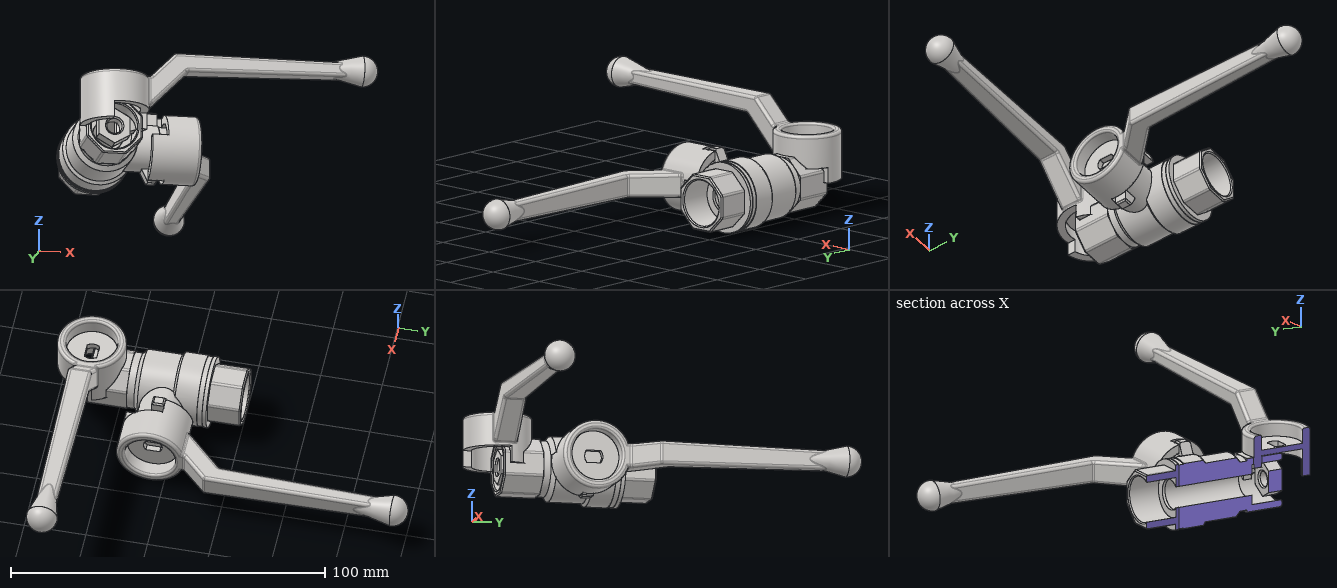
import cadquery as cq
import math


valve_length = 50.0
port_sides = 8
port_across_flats = 18.0
port_corner_radius = 1.1
port_edge_chamfer = 0.45
thread_diameter = 14.95
thread_depth = 11.0
thread_chamfer = 0.4
flow_diameter = 10.0

octagon_length = 13.0
neck_end = 15.4
barrel_start = 16.8
barrel_diameter = 21.0
barrel_end = 28.1
collar_diameter = 23.0
collar_start = 28.9
groove_diameter = 22.6
groove_start = 36.3
body_end = 38.0

flange_end = 39.3

stem_y = valve_length / 2
boss_diameter = 15.0
boss_end = 18.0
tab_width = 4.0
tab_height = 11.5
tab_foot_x = 13.0
tab_top_x = 15.0
tab_chamfer = 0.5

stem_diameter = 14.0

hub_diameter = 22.0
hub_height = 16.0
hub_edge_radius = 1.0
hub_bore_diameter = 16.5
recess_mouth_radius = 0.75
recess_floor = 11.0
hub_bore_depth = port_across_flats / 2
slot_diameter = 6.0
slot_width = 4.0
skirt_height = 5.2
skirt_edge = tab_width / 2

arm_bend_x = 11.0
arm_root_x = 9.4
arm_root_bottom = 6.15
arm_top = 24.0
arm_upper_bend_x = arm_bend_x + arm_top - hub_height
arm_lower_rise = 12.0
arm_end_x = 77.0
arm_end_bottom = 19.4
arm_root_width = 7.85
arm_end_width = 6.05
arm_root_radius = 0.4
arm_bend_radius = 1.0
arm_edge_radius = 1.0

knob_x = 80.0
knob_z = 22.0
knob_radius = 5.0
knob_cone_length = 12.3
knob_blend_radius = 0.5
knob_neck_radius = 1.99

second_handle_offset = 15.0

nut_sides = 6
nut_across_flats = 10.0
nut_thickness = 5.0
nut_hole_diameter = 4.92
nut_hole_chamfer = 0.5


def cylinder_y(diameter, start, end):
    """Cylinder on the Y axis between two Y positions."""
    return cq.Workplane("XZ", origin=(0, start, 0)).circle(diameter / 2).extrude(start - end)


def octagon_port(start, end, open_face):
    """Octagonal port with rounded corners and a chamfer around its open face."""
    corner_diameter = port_across_flats / math.cos(math.pi / port_sides)
    port = (
        cq.Workplane("XZ", origin=(0, start, 0))
        .transformed(rotate=(0, 0, 180 / port_sides))
        .polygon(port_sides, corner_diameter)
        .extrude(start - end)
        .edges("|Y")
        .fillet(port_corner_radius)
    )
    return port.faces(open_face).edges().chamfer(port_edge_chamfer)


def thread_bore(open_y, inward):
    """Threaded port bore from its open face; inward is +1 or -1 along Y."""
    bore_radius = thread_diameter / 2
    mouth_radius = bore_radius + thread_chamfer
    return (
        cq.Workplane("XY")
        .moveTo(0, open_y)
        .lineTo(mouth_radius, open_y)
        .lineTo(bore_radius, open_y + inward * thread_chamfer)
        .lineTo(bore_radius, open_y + inward * thread_depth)
        .lineTo(0, open_y + inward * thread_depth)
        .close()
        .revolve(360, (0, 0, 0), (0, 1, 0))
    )


def make_stop_tab():
    """Tab on the +Z side of the stem boss, sloped towards the barrel."""
    tab = (
        cq.Workplane("XZ", origin=(0, stem_y + tab_width / 2, 0))
        .moveTo(tab_foot_x, 0)
        .lineTo(tab_foot_x, boss_diameter / 2)
        .lineTo(tab_top_x, tab_height)
        .lineTo(boss_end, tab_height)
        .lineTo(boss_end, 0)
        .close()
        .extrude(tab_width)
    )
    return tab.faces(">Z").edges("|X or >X").chamfer(tab_chamfer)


def make_body():
    """Octagonal port, barrel with collar, and the stem boss with a stop tab above and below."""
    neck_radius = port_across_flats / 2
    barrel_radius = barrel_diameter / 2
    collar_radius = collar_diameter / 2
    groove_radius = groove_diameter / 2
    barrel = (
        cq.Workplane("XY")
        .moveTo(0, octagon_length)
        .lineTo(neck_radius, octagon_length)
        .lineTo(neck_radius, neck_end)
        .lineTo(barrel_radius, barrel_start)
        .lineTo(barrel_radius, barrel_end)
        .lineTo(collar_radius, collar_start)
        .lineTo(collar_radius, groove_start)
        .lineTo(groove_radius, groove_start)
        .lineTo(groove_radius, body_end)
        .lineTo(0, body_end)
        .close()
        .revolve(360, (0, 0, 0), (0, 1, 0))
    )
    boss = cq.Workplane("YZ").center(stem_y, 0).circle(boss_diameter / 2).extrude(boss_end)
    upper_tab = make_stop_tab()
    lower_tab = upper_tab.mirror("XY")
    body = octagon_port(0, octagon_length, "<Y").union(barrel).union(boss)
    body = body.union(upper_tab).union(lower_tab)
    return body.cut(thread_bore(0, 1)).cut(cylinder_y(flow_diameter, 0, body_end))


def make_end_cap():
    """Octagonal port with a flange that closes the collar end of the body."""
    flange = cylinder_y(collar_diameter, body_end, flange_end)
    cap = octagon_port(flange_end, valve_length, ">Y").union(flange)
    cap = cap.cut(thread_bore(valve_length, -1))
    return cap.cut(cylinder_y(flow_diameter, body_end, valve_length))


def make_stem():
    """Stem head filling the gap between the boss and the hub of the second handle."""
    stem_length = second_handle_offset + hub_bore_depth - boss_end
    return (
        cq.Workplane("YZ", origin=(boss_end, stem_y, 0))
        .circle(stem_diameter / 2)
        .extrude(stem_length)
    )


def make_arm():
    """Cranked arm, tapering in height and in width towards the knob."""
    side = (
        cq.Workplane("XZ", origin=(0, arm_root_width, 0))
        .moveTo(arm_root_x, arm_root_bottom)
        .lineTo(arm_bend_x, arm_root_bottom)
        .lineTo(arm_bend_x + arm_lower_rise, arm_root_bottom + arm_lower_rise)
        .lineTo(arm_end_x, arm_end_bottom)
        .lineTo(arm_end_x, arm_top)
        .lineTo(arm_upper_bend_x, arm_top)
        .lineTo(arm_bend_x, hub_height)
        .lineTo(arm_root_x, hub_height)
        .close()
        .extrude(2 * arm_root_width)
    )
    bend_zone = cq.selectors.BoxSelector(
        (arm_bend_x - arm_bend_radius, -2 * arm_root_width, 0),
        (arm_end_x - arm_bend_radius, 2 * arm_root_width, 2 * arm_top),
    )
    side = side.edges("|Y").edges(bend_zone).fillet(arm_bend_radius)
    plan = (
        cq.Workplane("XY")
        .moveTo(arm_root_x, -arm_root_width / 2)
        .lineTo(arm_bend_x, -arm_root_width / 2)
        .lineTo(arm_end_x, -arm_end_width / 2)
        .lineTo(arm_end_x, arm_end_width / 2)
        .lineTo(arm_bend_x, arm_root_width / 2)
        .lineTo(arm_root_x, arm_root_width / 2)
        .close()
        .extrude(2 * arm_top)
    )
    arm = side.intersect(plan)
    return arm.faces("not (<X or >X)").edges("(not |Y) and (not |Z)").fillet(arm_edge_radius)


def make_knob():
    """Ball end that runs into a cone around the tip of the arm."""
    return (
        cq.Workplane("XZ")
        .moveTo(knob_x - knob_cone_length, knob_z)
        .lineTo(knob_x - knob_cone_length, knob_z + knob_neck_radius)
        .lineTo(knob_x, knob_z + knob_radius)
        .radiusArc((knob_x + knob_radius, knob_z), knob_radius)
        .close()
        .revolve(360, (0, knob_z, 0), (1, knob_z, 0))
    )


def make_skirt_cut():
    """Space below the hub rim that leaves two lower skirt quarters standing."""
    reach = hub_diameter
    cut = cq.Workplane("XY").rect(2 * reach, 2 * reach).extrude(skirt_height)
    left_quarter = cq.Workplane("XY").box(reach, reach, skirt_height, centered=False)
    left_quarter = left_quarter.translate((-skirt_edge - reach, skirt_edge - reach, 0))
    right_quarter = cq.Workplane("XY").box(reach, reach, skirt_height, centered=False)
    right_quarter = right_quarter.translate((skirt_edge, skirt_edge, 0))
    return cut.cut(left_quarter).cut(right_quarter)


def make_hub():
    """Hub with a rounded rim, an open recess on top and a bore below, joined by a slotted floor."""
    hub_radius = hub_diameter / 2
    bore_radius = hub_bore_diameter / 2
    hub = (
        cq.Workplane("XZ")
        .moveTo(0, hub_bore_depth)
        .lineTo(bore_radius, hub_bore_depth)
        .lineTo(bore_radius, 0)
        .lineTo(hub_radius, 0)
        .lineTo(hub_radius, hub_height - hub_edge_radius)
        .radiusArc((hub_radius - hub_edge_radius, hub_height), -hub_edge_radius)
        .lineTo(bore_radius + recess_mouth_radius, hub_height)
        .radiusArc((bore_radius, hub_height - recess_mouth_radius), -recess_mouth_radius)
        .lineTo(bore_radius, recess_floor)
        .lineTo(0, recess_floor)
        .close()
        .revolve(360, (0, 0, 0), (0, 1, 0))
    )
    slot = cq.Workplane("XY").circle(slot_diameter / 2).extrude(hub_height)
    slot = slot.intersect(cq.Workplane("XY").box(slot_diameter, slot_width, 2 * hub_height))
    return hub.cut(make_skirt_cut()).cut(slot)


def make_handle():
    """Hub, arm and knob as one solid, blended where the arm meets the hub and the knob."""
    handle = make_hub().union(make_arm()).union(make_knob())
    root_zone = cq.selectors.BoxSelector(
        (arm_root_x, -arm_root_width, hub_bore_depth),
        (arm_bend_x - arm_root_radius, arm_root_width, recess_floor + hub_edge_radius),
    )
    handle = handle.edges("|Z").edges(root_zone).fillet(arm_root_radius)
    knob_zone = cq.selectors.BoxSelector(
        (knob_x - knob_cone_length, -knob_radius, 0),
        (arm_end_x, knob_radius, 2 * arm_top),
    )
    return handle.edges("not %LINE").edges(knob_zone).fillet(knob_blend_radius)


def make_nut():
    """Hexagon nut lying in the open port, its hole along the flow axis."""
    corner_diameter = nut_across_flats / math.cos(math.pi / nut_sides)
    nut = (
        cq.Workplane("XZ")
        .transformed(rotate=(0, 0, 180 / nut_sides))
        .polygon(nut_sides, corner_diameter)
        .extrude(-nut_thickness)
    )
    nut = nut.cut(cylinder_y(nut_hole_diameter, 0, nut_thickness))
    return nut.faces("<Y or >Y").edges("%CIRCLE").chamfer(nut_hole_chamfer)


handle_placements = [
    (0, (0, 0, 0)),
    (120, (second_handle_offset, stem_y, 0)),
]
handles = []
for turn, position in handle_placements:
    handles.append(make_handle().rotate((0, 0, 0), (1, 1, 1), turn).translate(position))

body = make_body().cut(handles[0])
end_cap = make_end_cap()
stem = make_stem()
nut = make_nut()

result = cq.Compound.makeCompound([
    body.solids().val(),
    end_cap.solids().val(),
    stem.solids().val(),
    nut.solids().val(),
    *[handle.solids().val() for handle in handles],
])